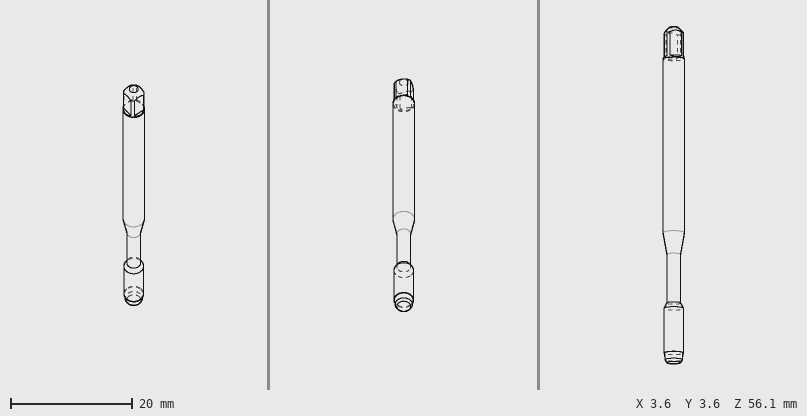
import cadquery as cq


overall_length = 56.1
tip_chamfer_top = 0.5
thread_bottom = 1.6
thread_top = 9.1
cutter_top = 10.0
taper_bottom = 18.1
taper_top = 21.75
shoulder = 50.8
flat_bottom = 51.2

tip_diameter = 2.3
lead_start_diameter = 2.85
lead_end_diameter = 3.1
thread_diameter = 3.25

neck_diameter = 2.3
shank_diameter = 3.6

drive_diameter = 3.4
drive_width = 2.8
dome_diameter = 1.45
dome_height = 1.0


def turned_body(profile):
    """Revolve (diameter, height) steps about the Z axis into one solid."""
    bottom = profile[0][1]
    top = profile[-1][1]
    outline = [(0, bottom)]
    outline += [(diameter / 2, height) for diameter, height in profile]
    outline += [(0, top)]
    return cq.Workplane("XZ").polyline(outline).close().revolve(360, (0, 0), (0, 1))


def make_cutter():
    """Threaded tip: end chamfer, tapered lead, thread cylinder and rear chamfer."""
    return turned_body([
        (tip_diameter, 0),
        (lead_start_diameter, tip_chamfer_top),
        (lead_end_diameter, thread_bottom),
        (thread_diameter, thread_bottom),
        (thread_diameter, thread_top),
        (neck_diameter, cutter_top),
    ])


def make_shank():
    """Neck, taper and shank, ending in a square drive with a conical top."""
    blank = turned_body([
        (neck_diameter, cutter_top),
        (neck_diameter, taper_bottom),
        (shank_diameter, taper_top),
        (shank_diameter, shoulder),
        (drive_diameter, shoulder),
        (drive_diameter, overall_length - dome_height),
        (dome_diameter, overall_length),
    ])
    return blank.cut(drive_flats())


def drive_flats():
    """Material outside the square drive; each flat runs out downward and outward at 45 degrees."""
    flat_offset = drive_width / 2
    runout = shank_diameter - flat_offset
    flat = (
        cq.Workplane("XZ")
        .polyline([
            (flat_offset, overall_length),
            (flat_offset, flat_bottom),
            (shank_diameter, flat_bottom - runout),
            (shank_diameter, overall_length),
        ])
        .close()
        .extrude(shank_diameter, both=True)
    )
    flats = flat
    for side in range(1, 4):
        flats = flats.union(flat.rotate((0, 0, 0), (0, 0, 1), 90 * side))
    return flats


cutter = make_cutter()
shank = make_shank()

result = cq.Compound.makeCompound([cutter.val(), shank.val()])